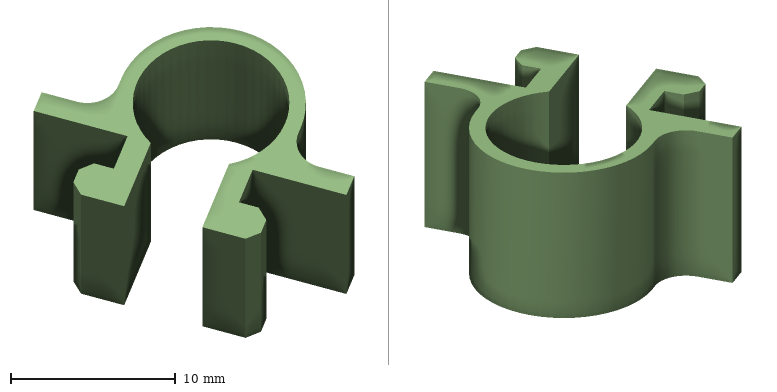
import cadquery as cq

flange_span = 20.0
depth = 10.0

bore_diameter = 9.5
bore_radius = bore_diameter / 2
wall = 1.0
ring_radius = bore_radius + wall
mouth_width = 5.0

flange_top = -2.5
flange_thickness = 1.5
flange_bottom = flange_top - flange_thickness
fillet_radius = 2.0

leg_thickness = 1.5
foot_overhang = 2.0
foot_height = 2.5
foot_chamfer = 0.75
foot_bottom = -9.1
foot_top = foot_bottom + foot_height
leg_outer = mouth_width / 2 + leg_thickness
foot_outer = leg_outer + foot_overhang


def box(x_min, x_max, y_min, y_max):
    """Block over the full depth between the given X and Y limits."""
    return (
        cq.Workplane("XY")
        .center((x_min + x_max) / 2, (y_min + y_max) / 2)
        .rect(x_max - x_min, y_max - y_min)
        .extrude(depth)
    )


def make_body():
    """Ring blank with straight sides running down into the filleted flanges."""
    ring = cq.Workplane("XY").circle(ring_radius).extrude(depth)
    sides = box(-ring_radius, ring_radius, flange_bottom, 0)
    flanges = box(-flange_span / 2, flange_span / 2, flange_bottom, flange_top)
    corner_reach = 0.2
    lower = sides.union(flanges)
    for side in (-1, 1):
        corner_x = side * ring_radius
        corner = cq.selectors.BoxSelector(
            (corner_x - corner_reach, flange_top - corner_reach, -corner_reach),
            (corner_x + corner_reach, flange_top + corner_reach, depth + corner_reach),
        )
        lower = lower.edges("|Z").edges(corner).fillet(fillet_radius)
    upper_ring = ring.intersect(box(-ring_radius, ring_radius, flange_bottom, ring_radius))
    return lower.union(upper_ring)


def make_leg():
    """Right-hand leg with an outward foot chamfered at its outer corners."""
    leg = box(mouth_width / 2, leg_outer, foot_bottom, flange_bottom)
    foot = box(mouth_width / 2, foot_outer, foot_bottom, foot_top)
    foot = foot.faces(">X").edges("|Z").chamfer(foot_chamfer)
    return leg.union(foot)


leg = make_leg()
body = make_body().union(leg).union(leg.mirror("YZ"))

bore = cq.Workplane("XY").circle(bore_radius).extrude(depth)
mouth = box(-mouth_width / 2, mouth_width / 2, foot_bottom, 0)
result = body.cut(bore).cut(mouth)